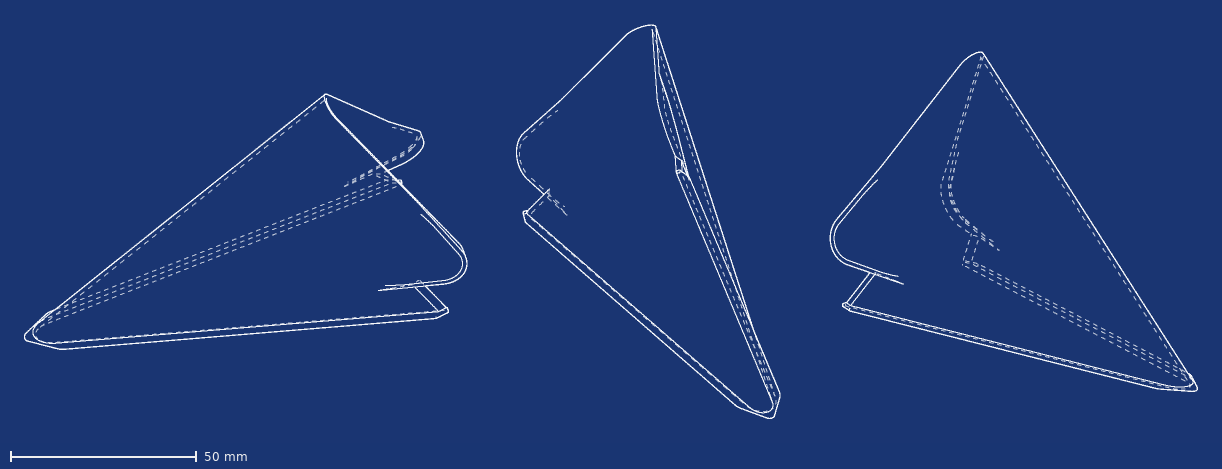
import cadquery as cq
import math

HEIGHT = 74.5
LENGTH = 117.4
WIDTH = 48.3

RIDGE_FOOT_Y = 1.4
RIDGE_ANGLE = 42.0
NOSE_RADIUS = 4.6
WALL_TILT = 15.0
WALL = 1.2

REAR_FOOT_Y = 111.7
REAR_EDGE_RADIUS = 0.41
BEVEL_LENGTH = 2.3

FLANGE_THICKNESS = 0.9
FLANGE_EDGE_RADIUS = 0.29
FLANGE_REAR_Y = 112.0
FLANGE_CORNER_Y = 108.2
FLANGE_CORNER_INSET = 1.0
FLANGE_SHOULDER_X = 6.3
FLANGE_TIP_ANGLE = 34.0
FLANGE_TIP_RADIUS = 1.4
FLANGE_SHOULDER_RADIUS = 4.7

TAB_RADIUS = 7.5
TAB_CENTER_Z = 19.6
TAB_LOWER_ANGLE = 6.8
TAB_FRONT_Y = 58.7
LIP_TOP = (105.1, 37.5)
LIP_FRONT = (94.1, 10.9)
LIP_SLOPE = 0.1
LIP_THICKNESS = 1.2
LIP_TAPER = 3.5
LIP_FILLET = 2.6

REACH = 176.0

ridge = math.radians(RIDGE_ANGLE)
tilt = math.radians(WALL_TILT)
tab_lower = math.radians(TAB_LOWER_ANGLE)

APEX_Y = RIDGE_FOOT_Y + HEIGHT / math.tan(ridge)
TAB_CENTER_Y = LENGTH - TAB_RADIUS

apex_to_tab_y = TAB_CENTER_Y - APEX_Y
apex_to_tab_z = HEIGHT - TAB_CENTER_Z
apex_to_tab = math.hypot(apex_to_tab_y, apex_to_tab_z)
rear = math.atan2(apex_to_tab_z, apex_to_tab_y) - math.asin(TAB_RADIUS / apex_to_tab)


def wall_x(y, z):
    """Half width of the outer wall plane at a given y and z."""
    depth = (y - RIDGE_FOOT_Y) * math.sin(ridge) - z * math.cos(ridge)
    return (NOSE_RADIUS + (depth - NOSE_RADIUS) * math.sin(tilt)) / math.cos(tilt)


def wall_point(y, z):
    return cq.Vector(wall_x(y, z), y, z)


def side_prism(points):
    """Outline in side elevation (y, z), spread across the whole width."""
    return cq.Workplane("YZ").polyline(points).close().extrude(WIDTH, both=True)


def tent(radius):
    """Solid under the two walls, with a ridge of the given radius."""
    touch_x = radius * math.cos(tilt)
    touch_depth = NOSE_RADIUS - radius * math.sin(tilt)
    end_x = touch_x + (REACH - touch_depth) * math.tan(tilt)
    across_ridge = cq.Plane(
        origin=(0, RIDGE_FOOT_Y, 0),
        xDir=(1, 0, 0),
        normal=(0, math.cos(ridge), math.sin(ridge)),
    )
    return (
        cq.Workplane(across_ridge)
        .moveTo(-touch_x, touch_depth)
        .threePointArc((0, NOSE_RADIUS - radius), (touch_x, touch_depth))
        .lineTo(end_x, REACH)
        .lineTo(-end_x, REACH)
        .close()
        .extrude(REACH, both=True)
    )


def on_both_sides(solid):
    return solid.union(solid.mirror("YZ"))


def base_flange():
    half_width = WIDTH / 2
    tip_angle = math.radians(FLANGE_TIP_ANGLE)
    sharp_tip_y = FLANGE_TIP_RADIUS * (1 - 1 / math.sin(tip_angle))
    shoulder_y = sharp_tip_y + FLANGE_SHOULDER_X / math.tan(tip_angle)
    right = [
        (FLANGE_SHOULDER_X, shoulder_y),
        (half_width, FLANGE_CORNER_Y),
        (half_width - FLANGE_CORNER_INSET, FLANGE_REAR_Y),
    ]
    left = [(-x, y) for x, y in reversed(right)]
    plate = cq.Workplane("XY").polyline([(0, sharp_tip_y)] + right + left).close().extrude(FLANGE_THICKNESS)
    plate = plate.edges("|Z").edges("<Y").fillet(FLANGE_TIP_RADIUS)
    shoulders = cq.selectors.BoxSelector(
        (-half_width, shoulder_y - 1.2, -1.2),
        (half_width, shoulder_y + 1.2, FLANGE_THICKNESS + 1.2),
    )
    plate = plate.edges("|Z").edges(shoulders).fillet(FLANGE_SHOULDER_RADIUS)
    return plate.faces("|Z").edges("not >Y").fillet(FLANGE_EDGE_RADIUS)


def rear_edge_bevel():
    """Wedge that thins the right wall toward its lower rear edge."""
    outer_y = REAR_FOOT_Y - BEVEL_LENGTH
    z = FLANGE_THICKNESS
    outer = wall_point(outer_y, z)
    inner = wall_point(REAR_FOOT_Y, z) - cq.Vector(WALL / math.cos(tilt), 0, 0)
    slant = inner - outer
    behind = cq.Vector(WIDTH, 0, 0)
    start = outer - slant
    end = inner + slant
    wire = cq.Wire.makePolygon([start, end, end + behind, start + behind, start])
    top_y = outer_y - HEIGHT / math.tan(rear)
    along_edge = wall_point(top_y, z + HEIGHT) - outer
    return cq.Workplane(obj=cq.Solid.extrudeLinear(wire, [], along_edge))


def wall_outline():
    foot_z = FLANGE_THICKNESS
    top_y = REAR_FOOT_Y - (HEIGHT - foot_z) / math.tan(rear)
    return side_prism([(0, 0), (REAR_FOOT_Y + foot_z / math.tan(rear), 0), (top_y, HEIGHT), (0, HEIGHT)])


def tab_outline(inset=0.0, spread=0.0):
    """Right half of the tab seen from the side: two straight edges tangent to a rounded rear corner.

    The inset shrinks the corner about its center; the spread (degrees) opens both edges outward.
    """
    upper = rear + math.radians(spread)
    lower = tab_lower + math.radians(spread)
    radius = TAB_RADIUS - inset

    upper_touch_y = TAB_CENTER_Y + radius * math.sin(upper)
    upper_touch_z = TAB_CENTER_Z + radius * math.cos(upper)
    lower_touch_y = TAB_CENTER_Y + radius * math.sin(lower)
    lower_touch_z = TAB_CENTER_Z - radius * math.cos(lower)
    upper_end_y = upper_touch_y - (HEIGHT - upper_touch_z) / math.tan(upper)
    lower_end_z = lower_touch_z - (lower_touch_y - TAB_FRONT_Y) * math.tan(lower)
    return (
        cq.Workplane("YZ")
        .moveTo(upper_end_y, HEIGHT)
        .lineTo(upper_touch_y, upper_touch_z)
        .threePointArc((TAB_CENTER_Y + radius, TAB_CENTER_Z), (lower_touch_y, lower_touch_z))
        .lineTo(TAB_FRONT_Y, lower_end_z)
        .lineTo(TAB_FRONT_Y, HEIGHT)
        .close()
        .extrude(WIDTH)
    )


def wall_frame():
    """Local frame on the right wall: x runs away from the line of the lip ends, y leaves the wall."""
    top = wall_point(*LIP_TOP)
    along = (wall_point(*LIP_FRONT) - top).normalized()
    outward = cq.Vector(math.cos(tilt), -math.sin(tilt) * math.sin(ridge), math.sin(tilt) * math.cos(ridge))
    return cq.Plane(origin=top.toTuple(), xDir=outward.cross(along).toTuple(), normal=along.toTuple())


def tab_lip():
    """Right-hand lip: rises from the wall toward the tab corner and fades out at both ends."""
    frame = wall_frame()
    run = WIDTH
    root = -WALL / 2
    wedge = (
        cq.Workplane(frame)
        .polyline([(0, 0), (0, root), (run, root), (run, run * LIP_SLOPE)])
        .close()
        .extrude(REACH, both=True)
    )
    above_wall = cq.Workplane(frame).rect(REACH, WIDTH).extrude(REACH, both=True)
    above_wall = above_wall.translate(frame.yDir * (WIDTH / 2))
    hollow = tab_outline(LIP_THICKNESS, LIP_TAPER).intersect(above_wall)
    rim = (
        hollow.faces(cq.selectors.DirectionMinMaxSelector(frame.yDir, False))
        .edges(cq.selectors.DirectionMinMaxSelector(frame.xDir, True))
        .fillet(LIP_FILLET)
    )
    return tab_outline().intersect(wedge).cut(rim)


def round_inner_rear_edge(sheet):
    """Round the inner rear edge, which runs tangent from the ridge around both tab corners."""
    depth = WALL / math.sin(ridge + rear)
    under_apex = (0, APEX_Y + depth * math.cos(rear), HEIGHT - depth * math.sin(rear))
    return sheet.edges(cq.selectors.NearestToPointSelector(under_apex)).fillet(REAR_EDGE_RADIUS)


outer_tent = tent(NOSE_RADIUS)
inner_tent = tent(NOSE_RADIUS - WALL)
above_flange = cq.Workplane("XY").workplane(offset=FLANGE_THICKNESS).rect(REACH * 2, REACH * 2).extrude(HEIGHT)

tabs = on_both_sides(tab_outline())
bevels = on_both_sides(rear_edge_bevel()).cut(tabs)
lips = on_both_sides(tab_lip())

sheet = outer_tent.intersect(wall_outline().union(tabs)).cut(bevels).intersect(above_flange)
sheet = round_inner_rear_edge(sheet.cut(inner_tent))
result = sheet.union(base_flange().cut(inner_tent)).union(lips)